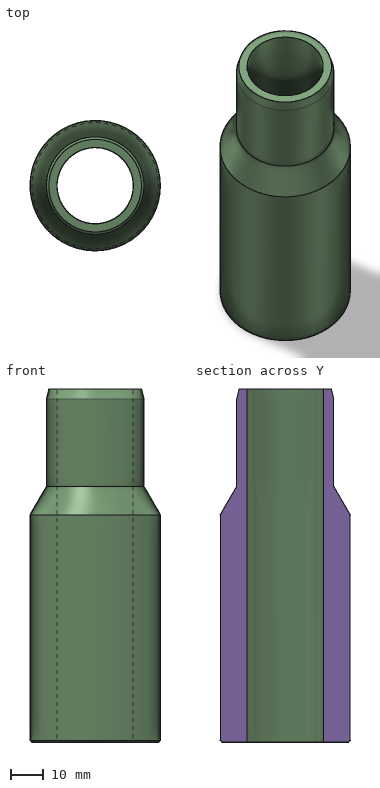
import cadquery as cq

total_height = 108.8
body_diameter = 40.1
neck_diameter = 30.0
bore_diameter = 23.4

neck_length = 30.0
shoulder_height = 8.7

neck_bevel_height = 3.0
neck_bevel_width = 0.8
base_bevel = 0.7

body_radius = body_diameter / 2
neck_radius = neck_diameter / 2
bore_radius = bore_diameter / 2
neck_base_z = total_height - neck_length
shoulder_base_z = neck_base_z - shoulder_height

half_section = [
    (bore_radius, 0),
    (body_radius - base_bevel, 0),
    (body_radius, base_bevel),
    (body_radius, shoulder_base_z),
    (neck_radius, neck_base_z),
    (neck_radius, total_height - neck_bevel_height),
    (neck_radius - neck_bevel_width, total_height),
    (bore_radius, total_height),
]

result = cq.Workplane("XZ").polyline(half_section).close().revolve(360, (0, 0, 0), (0, 1, 0))